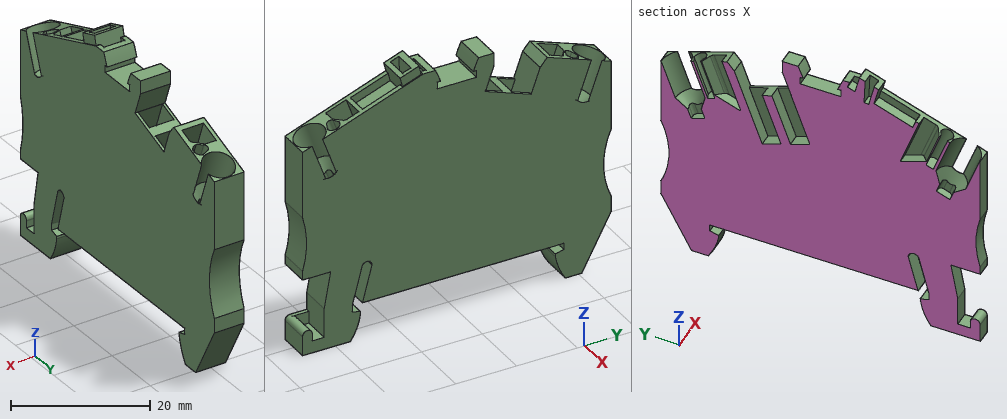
import cadquery as cq
import math

width = 5.15
end_y = 25.4
shoulder_z = 34.3
top_z = 41.5
slope_angle = 20.0
slope = math.tan(math.radians(slope_angle))
slope_top_y = end_y - (top_z - shoulder_z) / slope

rail_z = 5.95
hook_ledge_z = 4.95
hook_tip_z = 4.55
hook_lip_z = 4.15
hook_bend_z = 2.45
fixed_hook_root_y = 17.6
fixed_hook_tip_y = 16.15
fixed_hook_bend_y = 16.6
fixed_hook_base_y = 17.85
fixed_foot_outer_y = 20.5
fixed_foot_top_z = 9.05
spring_hook_root_y = -17.2
spring_hook_tip_y = -15.85
spring_hook_bend_y = -16.25
spring_hook_base_y = -17.55

foot_root = (-20.8, 12.75)
foot_bend_z = 6.85
slit_foot_side = (-15.65, 12.0)
slit_top = (-14.8, 12.7)
slit_body_side = (-13.95, 11.9)
slit_mouth_y = -15.55

spring_hollow_top_z = 23.25
spring_hollow_bottom_z = 14.2
spring_hollow_depth = 0.65
fixed_hollow_top_z = 22.95
fixed_hollow_bottom_z = 11.5
fixed_hollow_depth = 1.25

lug_y = -21.85
lug_z = 4.0
lip_round = 0.8
lug_wall = 0.65
lug_floor_z = 2.05

notch_outer = (12.2, 32.7)
notch_inner_y = 4.65
notch_inner = (notch_inner_y, notch_outer[1] + (notch_outer[0] - notch_inner_y) * slope)
peak_y = 14.85
peak = (peak_y, shoulder_z + (end_y - peak_y) * slope)
notch_rim_rise = 4.05
notch_rim = (notch_outer[0] + notch_rim_rise * slope, notch_outer[1] + notch_rim_rise)

groove_half = 3.2
groove_z = 38.3
groove_lip_z = 39.4
groove_lip_half = 2.7
groove_bend_z = 40.5
groove_bend_half = 3.1
groove_mouth_half = 3.55
post_y = 6.1
post_bend_z = notch_inner[1] + (post_y - notch_inner_y) / slope

wire_x = 0.25
wire_along = 2.6
wire_radius = 2.5
wire_depth = 6.55
funnel_depth = 2.55
funnel_end_radius = 0.75
core_size = 2.25
core_round = 0.6
core_depth = 10.15

test_along = 6.15
test_x = 1.25
test_radius = 1.0
test_narrow_x = 0.25
test_narrow_half = 0.55
test_tip_x = -0.1
test_depth = 6.6

release_left = -1.95
release_right = 1.8
release_start = 6.75
release_end = 10.3
release_corner_x = -0.05
release_corner_drop = 1.15
release_fillet = 0.6
release_depth = 5.8
release_floor_angle = 2 * slope_angle

holder_half_width = 1.8
holder_start = 10.95
holder_end = 21.95
holder_depth = 1.35
tab_width = 4.85
tab_start = 17.6
tab_end = 20.9
tab_height = 1.6
tab_lean_angle = 6.0
tab_lean = math.tan(math.radians(tab_lean_angle))

slot_start = 18.55
slot_end = 20.0
slot_outer_bottom = (18.15, -2.15)
slot_inner_bottom = (18.8, -2.3)

shaft_width = 4.2
shaft_depth = 8.65
shaft_spans = [(0.0, 3.1), (4.8, 8.0)]


def housing():
    spring_hollow_middle = (
        spring_hollow_depth - end_y,
        (spring_hollow_top_z + spring_hollow_bottom_z) / 2,
    )
    fixed_hollow_middle = (
        end_y - fixed_hollow_depth,
        (fixed_hollow_top_z + fixed_hollow_bottom_z) / 2,
    )
    outline = (
        cq.Workplane("YZ")
        .moveTo(end_y, shoulder_z)
        .lineTo(*peak)
        .lineTo(*notch_rim)
        .lineTo(*notch_outer)
        .lineTo(*notch_inner)
        .lineTo(post_y, post_bend_z)
        .lineTo(post_y, top_z)
        .lineTo(groove_mouth_half, top_z)
        .threePointArc((groove_bend_half, groove_bend_z), (groove_lip_half, groove_lip_z))
        .lineTo(groove_half, groove_lip_z)
        .lineTo(groove_half, groove_z)
        .lineTo(-groove_half, groove_z)
        .lineTo(-groove_half, groove_lip_z)
        .lineTo(-groove_lip_half, groove_lip_z)
        .threePointArc((-groove_bend_half, groove_bend_z), (-groove_mouth_half, top_z))
        .lineTo(-slope_top_y, top_z)
        .lineTo(-end_y, shoulder_z)
        .lineTo(-end_y, spring_hollow_top_z)
        .threePointArc(spring_hollow_middle, (-end_y, spring_hollow_bottom_z))
        .lineTo(-end_y, foot_root[1])
        .lineTo(*foot_root)
        .lineTo(lug_y, foot_bend_z)
        .lineTo(lug_y, lug_floor_z)
        .lineTo(-end_y, lug_floor_z)
        .lineTo(-end_y, 0)
        .lineTo(spring_hook_base_y, 0)
        .threePointArc((spring_hook_bend_y, hook_bend_z), (spring_hook_tip_y, hook_lip_z))
        .lineTo(spring_hook_tip_y, hook_tip_z)
        .lineTo(spring_hook_root_y, hook_ledge_z)
        .lineTo(spring_hook_root_y, rail_z)
        .lineTo(*slit_foot_side)
        .threePointArc(slit_top, slit_body_side)
        .lineTo(slit_mouth_y, rail_z)
        .lineTo(fixed_hook_root_y, rail_z)
        .lineTo(fixed_hook_root_y, hook_ledge_z)
        .lineTo(fixed_hook_tip_y, hook_tip_z)
        .lineTo(fixed_hook_tip_y, hook_lip_z)
        .threePointArc((fixed_hook_bend_y, hook_bend_z), (fixed_hook_base_y, 0))
        .lineTo(fixed_foot_outer_y, 0)
        .lineTo(end_y, fixed_foot_top_z)
        .lineTo(end_y, fixed_hollow_bottom_z)
        .threePointArc(fixed_hollow_middle, (end_y, fixed_hollow_top_z))
        .close()
    )
    return outline.extrude(width / 2, both=True)


def slope_plane(height=0.0):
    """Workplane on the -Y slope, raised by height; local y runs up the slope from the end face."""
    angle = math.radians(slope_angle)
    normal = cq.Vector(0, -math.sin(angle), math.cos(angle))
    origin = cq.Vector(0, -end_y, shoulder_z) + normal * height
    return cq.Workplane(cq.Plane(origin=origin, xDir=(1, 0, 0), normal=normal))


def slope_prism(block_width, points):
    """Prism centred on X = 0; points are (distance up the -Y slope, height above it)."""
    surface = slope_plane().plane
    profile = cq.Plane(origin=surface.origin, xDir=surface.yDir, normal=surface.xDir)
    return cq.Workplane(profile).polyline(points).close().extrude(block_width / 2, both=True)


def lug_lip():
    """Upright lip with a full-round top at the end of the spring foot."""
    side_z = lug_z - lip_round
    inner_y = 2 * lip_round - end_y
    return (
        cq.Workplane("YZ")
        .moveTo(-end_y, lug_floor_z)
        .lineTo(-end_y, side_z)
        .threePointArc((lip_round - end_y, lug_z), (inner_y, side_z))
        .lineTo(inner_y, lug_floor_z)
        .close()
        .extrude(width / 2, both=True)
    )


def lug_side_wall():
    """Wall on the -X side joining the spring foot to the lip."""
    length = lug_y + end_y - lip_round
    return cq.Workplane("XY", origin=(-width / 2, lug_y - length, lug_floor_z)).box(
        lug_wall, length, lug_z - lug_floor_z, centered=False
    )


def wire_entry():
    """Round bore, tapering through a funnel into a square core with rounded corners."""
    bore = slope_plane().center(wire_x, wire_along).circle(wire_radius).extrude(-wire_depth)
    funnel = (
        slope_plane(-wire_depth)
        .center(wire_x, wire_along)
        .circle(wire_radius)
        .workplane(offset=-funnel_depth)
        .circle(funnel_end_radius)
        .loft()
    )
    core = (
        slope_plane(-wire_depth)
        .center(wire_x, wire_along)
        .rect(core_size, core_size)
        .extrude(wire_depth - core_depth)
        .edges(cq.selectors.ParallelDirSelector(slope_plane().plane.zDir))
        .fillet(core_round)
    )
    return bore.union(funnel).union(core)


def test_hole():
    """Egg-shaped hole: a half circle narrowing to a rounded tip."""
    return (
        slope_plane()
        .center(0, test_along)
        .moveTo(test_x, -test_radius)
        .threePointArc((test_x + test_radius, 0), (test_x, test_radius))
        .lineTo(test_narrow_x, test_narrow_half)
        .threePointArc((test_tip_x, 0), (test_narrow_x, -test_narrow_half))
        .close()
        .extrude(-test_depth)
    )


def release_slot():
    """Slot with one cut corner and a floor that deepens up the slope."""
    length = release_end - release_start
    deepest = release_depth + length * math.tan(math.radians(release_floor_angle))
    prism = (
        slope_plane()
        .moveTo(release_left, release_start)
        .lineTo(release_corner_x, release_start)
        .lineTo(release_right, release_start + release_corner_drop)
        .lineTo(release_right, release_end)
        .lineTo(release_left, release_end)
        .close()
        .extrude(-deepest)
    )
    corner = cq.selectors.NearestToPointSelector(
        slope_plane(-deepest / 2).plane.toWorldCoords((release_right, release_start + release_corner_drop))
    )
    prism = prism.edges(corner).fillet(release_fillet)
    wedge = slope_prism(
        width,
        [(release_start, 0), (release_start, -release_depth), (release_end, -deepest), (release_end, 0)],
    )
    return prism.intersect(wedge)


def holder_recess():
    return slope_prism(
        2 * holder_half_width,
        [
            (holder_start, tab_height),
            (holder_start, -holder_depth),
            (holder_end, -holder_depth),
            (holder_end, tab_height),
        ],
    )


def leaning_block(block_width, bottom, top):
    """Stretch of the marker insert between two heights, its ends leaning up the slope."""
    return slope_prism(
        block_width,
        [
            (tab_start + bottom * tab_lean, bottom),
            (tab_end + bottom * tab_lean, bottom),
            (tab_end + top * tab_lean, top),
            (tab_start + top * tab_lean, top),
        ],
    )


def marker_insert():
    """T-shaped insert: a stem filling the recess and a wider tab above it."""
    stem = leaning_block(2 * holder_half_width, -holder_depth, 0)
    return stem.union(leaning_block(tab_width, 0, tab_height))


def insert_slot():
    return slope_prism(
        2 * holder_half_width,
        [(slot_start, tab_height), slot_outer_bottom, slot_inner_bottom, (slot_end, tab_height)],
    )


def bridge_shafts():
    angle = math.radians(slope_angle)
    floor = cq.Plane(
        origin=(0, *notch_outer),
        xDir=(0, -math.cos(angle), math.sin(angle)),
        normal=(0, math.sin(angle), math.cos(angle)),
    )
    shafts = cq.Workplane(floor)
    for start, end in shaft_spans:
        shafts = shafts.moveTo((start + end) / 2, 0).rect(end - start, shaft_width)
    return shafts.extrude(-shaft_depth)


terminal = wire_entry().union(test_hole()).union(release_slot())
result = housing().cut(terminal).cut(terminal.mirror("XZ"))
result = result.cut(holder_recess()).union(marker_insert()).cut(insert_slot())
result = result.cut(bridge_shafts()).union(lug_lip()).union(lug_side_wall())